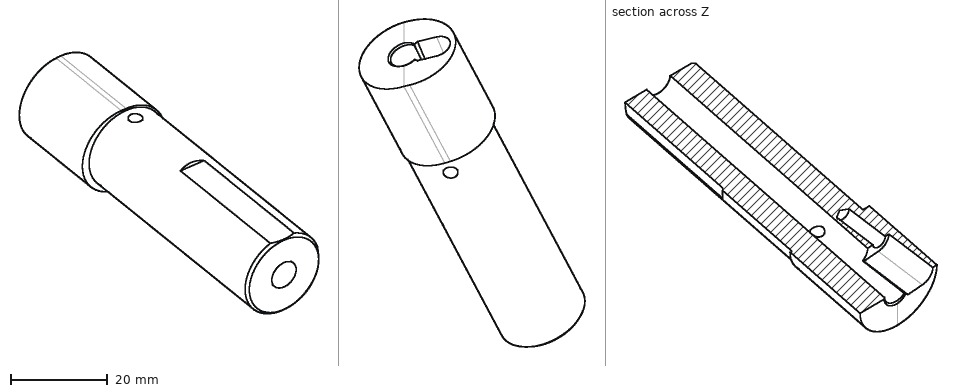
import cadquery as cq
import math

length = 78.0
head_length = 22.85
head_radius = 10.0
head_offset = 1.25
shank_radius = 9.5
shank_chamfer = 0.6

face_tilt = 4.0

flat_start = 45.5
flat_width = 6.1
flat_height = math.sqrt(shank_radius**2 - (flat_width / 2) ** 2)
flat_depth = shank_radius - flat_height

bore_radius = 3.1
bore_chamfer = 0.4
cross_hole_x = 26.1
cross_hole_diameter = 3.05

pocket_radius = 3.0
pocket_end = 7.1
pocket_depth = 13.25
neck_half_width = 2.3
neck_end = 2.3
screw_hole_distance = 7.3
screw_hole_radius = 1.7
screw_hole_depth = 10.9
drill_tip_height = screw_hole_radius * math.tan(math.radians(30))


def x_cylinder(radius, start, end, y=0):
    return cq.Workplane("YZ", origin=(start, y, 0)).circle(radius).extrude(end - start)


def tilt(shape):
    """Turn a shape about the Z axis so that its X direction is square to the sloping face."""
    return shape.rotate((0, 0, 0), (0, 0, 1), face_tilt)


def make_head():
    middle = cq.Workplane("XY").box(
        head_length, head_offset, 2 * head_radius, centered=(False, True, True)
    )
    middle = middle.translate((0, -head_offset / 2, 0))
    head = x_cylinder(head_radius, 0, head_length).union(middle)
    return head.union(x_cylinder(head_radius, 0, head_length, -head_offset))


def make_face_cut():
    reach = head_radius + head_offset
    rise = reach * math.tan(math.radians(face_tilt))
    wedge = cq.Workplane("XY", origin=(0, 0, -head_radius))
    wedge = wedge.polyline([(0, 0), (rise, -reach), (0, -reach)]).close()
    return wedge.extrude(2 * head_radius)


def make_flat_cut():
    """Cut for the +Z flat, starting with a 45 degree ramp."""
    profile = [
        (flat_start, shank_radius),
        (flat_start + flat_depth, flat_height),
        (length, flat_height),
        (length, shank_radius),
    ]
    cut = cq.Workplane("XZ").polyline(profile).close()
    return cut.extrude(shank_radius, both=True)


def make_bore():
    mouth_radius = bore_radius + bore_chamfer
    mouth = cq.Solid.makeCone(
        mouth_radius, bore_radius, bore_chamfer, cq.Vector(0, 0, 0), cq.Vector(1, 0, 0)
    )
    return x_cylinder(bore_radius, 0, length).union(cq.Workplane(mouth))


def make_cross_hole():
    hole = cq.Workplane("XY").center(cross_hole_x, 0).circle(cross_hole_diameter / 2)
    return hole.extrude(head_radius, both=True)


def make_pocket():
    """Round-ended pocket running from the bore towards -Y, with a narrower neck at the bore."""
    taper_end = neck_end + pocket_radius - neck_half_width
    profile = cq.Workplane("YZ").moveTo(0, neck_half_width)
    profile = profile.lineTo(-neck_end, neck_half_width)
    profile = profile.lineTo(-taper_end, pocket_radius)
    profile = profile.lineTo(-pocket_end, pocket_radius)
    profile = profile.threePointArc(
        (-pocket_end - pocket_radius, 0), (-pocket_end, -pocket_radius)
    )
    profile = profile.lineTo(-taper_end, -pocket_radius)
    profile = profile.lineTo(-neck_end, -neck_half_width)
    profile = profile.lineTo(0, -neck_half_width).close()
    return tilt(profile.extrude(pocket_depth))


def make_screw_hole():
    """Blind hole in the pocket floor with a conical drill tip."""
    hole_end = pocket_depth + screw_hole_depth
    tip = cq.Solid.makeCone(
        screw_hole_radius,
        0,
        drill_tip_height,
        cq.Vector(hole_end, -screw_hole_distance, 0),
        cq.Vector(1, 0, 0),
    )
    hole = x_cylinder(screw_hole_radius, pocket_depth, hole_end, -screw_hole_distance)
    return tilt(hole.union(cq.Workplane(tip)))


shank = x_cylinder(shank_radius, 0, length).faces(">X").chamfer(shank_chamfer)
top_flat = make_flat_cut()
side_flat = top_flat.rotate((0, 0, 0), (1, 0, 0), -90)

result = make_head().union(shank).cut(make_face_cut())
result = result.cut(top_flat).cut(side_flat)
result = result.cut(make_bore()).cut(make_cross_hole())
result = result.cut(make_pocket()).cut(make_screw_hole())